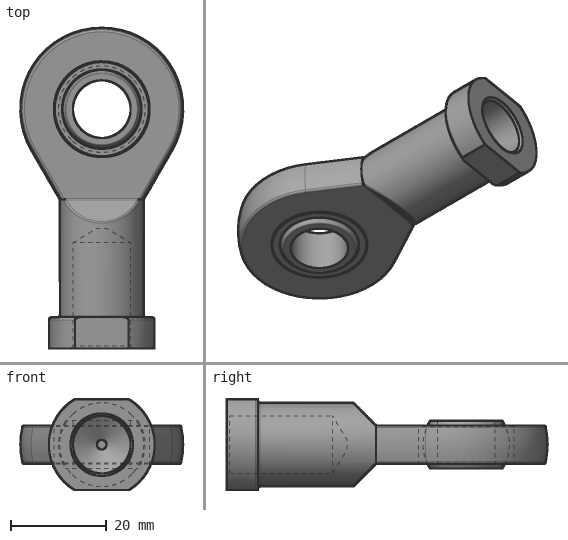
import cadquery as cq
import math

head_radius = 17.0
head_thickness = 8.0
side_bulge = 0.4
head_edge_radius = 0.5
race_seat_radius = 20.0 / 2

ball_radius = 9.0
ball_width = 9.95
ball_bore_radius = 12.0 / 2
race_edge_chamfer = 0.2
ball_edge_radius = 0.2

overall_length = 66.9
shank_radius = 17.5 / 2
neck_y = -18.8
neck_edge_radius = head_edge_radius
neck_blend_radius = head_edge_radius
collar_radius = 11.05
collar_length = 6.55
collar_edge_radius = 0.6
collar_across_flats = 19.0
shank_root_radius = 0.4

bore_radius = 12.0 / 2
bore_depth = 22.1
bore_mouth_chamfer = 0.55
drill_point_angle = 118.0
drill_flat_radius = 1.0

half_thickness = head_thickness / 2
end_y = head_radius - overall_length
collar_y = end_y + collar_length


def side_profile(inner_x):
    """Half section of the head in XZ: flat faces, rounded edges, bulged side."""
    edge_x = head_radius - side_bulge
    flat_x = edge_x - head_edge_radius
    side_z = half_thickness - head_edge_radius
    arc_offset = head_edge_radius * (1 - math.sqrt(0.5))
    return (
        cq.Workplane("XZ")
        .moveTo(inner_x, -half_thickness)
        .lineTo(flat_x, -half_thickness)
        .threePointArc((edge_x - arc_offset, arc_offset - half_thickness), (edge_x, -side_z))
        .threePointArc((head_radius, 0), (edge_x, side_z))
        .threePointArc((edge_x - arc_offset, half_thickness - arc_offset), (flat_x, half_thickness))
        .lineTo(inner_x, half_thickness)
        .close()
    )


def make_head():
    """Round eye with two straight flanks tangent to it, running in to the shank."""
    eye = side_profile(0).revolve(360, (0, 0, 0), (0, 1, 0))
    corner_distance = math.hypot(shank_radius, neck_y)
    corner_angle = math.degrees(math.atan2(-neck_y, shank_radius))
    tangent_angle = corner_angle - math.degrees(math.acos(head_radius / corner_distance))
    flank = side_profile(-2 * head_radius).extrude(2 * head_radius)
    right_flank = flank.rotate((0, 0, 0), (0, 0, 1), -tangent_angle)
    wedge = right_flank.intersect(right_flank.mirror("YZ"))
    wedge_limit = cq.Workplane("XY").box(
        4 * head_radius, -neck_y, head_thickness, centered=(True, False, True)
    ).translate((0, neck_y, 0))
    return eye.union(wedge.intersect(wedge_limit))


def make_shank():
    """Round shank, its head end sloped at 45 degrees and blended into the head faces."""
    slope_run = shank_radius - half_thickness
    half_slope = math.radians(45) / 2
    blend_reach = neck_blend_radius * math.tan(half_slope)
    slope_offset = blend_reach * math.sqrt(0.5)
    start_y = neck_y + blend_reach
    shank = cq.Workplane("XZ", origin=(0, start_y, 0)).circle(shank_radius).extrude(start_y - end_y)
    upper_half = (
        cq.Workplane("YZ")
        .moveTo(start_y, 0)
        .lineTo(start_y, half_thickness)
        .threePointArc(
            (start_y - neck_blend_radius * math.sin(half_slope),
             half_thickness + neck_blend_radius * (1 - math.cos(half_slope))),
            (neck_y - slope_offset, half_thickness + slope_offset),
        )
        .lineTo(neck_y - slope_run, shank_radius)
        .lineTo(end_y, shank_radius)
        .lineTo(end_y, 0)
        .close()
        .extrude(shank_radius, both=True)
    )
    sloped = shank.intersect(upper_half.union(upper_half.mirror("XY")))
    slope_faces = sloped.faces(cq.selectors.BoxSelector(
        (-shank_radius, neck_y - slope_run, -shank_radius),
        (shank_radius, neck_y - slope_offset, shank_radius),
    )).faces("%PLANE")
    return slope_faces.edges("%ELLIPSE").fillet(neck_edge_radius)


def make_collar():
    """End collar with a rounded shoulder and two wrench flats."""
    collar = (
        cq.Workplane("XZ", origin=(0, collar_y, 0))
        .circle(collar_radius)
        .extrude(collar_length)
        .faces(">Y").edges().fillet(collar_edge_radius)
    )
    flats = cq.Workplane("XY").box(
        2 * collar_radius, 2 * overall_length, collar_across_flats
    )
    return collar.intersect(flats)


def make_shank_root():
    """Concave fillet where the shank meets the collar shoulder."""
    r = shank_root_radius
    mid = r * (1 - math.sqrt(0.5))
    return (
        cq.Workplane("XY")
        .moveTo(0, collar_y)
        .lineTo(shank_radius + r, collar_y)
        .threePointArc((shank_radius + mid, collar_y + mid), (shank_radius, collar_y + r))
        .lineTo(0, collar_y + r)
        .close()
        .revolve(360, (0, 0, 0), (0, 1, 0))
    )


def make_shank_bore():
    """Blind bore with a chamfered mouth and a blunt drill point."""
    point_depth = (bore_radius - drill_flat_radius) / math.tan(math.radians(drill_point_angle / 2))
    bottom_y = end_y + bore_depth
    return (
        cq.Workplane("XY")
        .polyline([
            (0, end_y),
            (bore_radius + bore_mouth_chamfer, end_y),
            (bore_radius, end_y + bore_mouth_chamfer),
            (bore_radius, bottom_y),
            (drill_flat_radius, bottom_y + point_depth),
            (0, bottom_y + point_depth),
        ])
        .close()
        .revolve(360, (0, 0, 0), (0, 1, 0))
    )


def make_housing():
    race_seat = cq.Workplane("XY").circle(race_seat_radius).extrude(head_thickness, both=True)
    return (
        make_head()
        .union(make_shank())
        .union(make_collar())
        .union(make_shank_root())
        .cut(make_shank_bore())
        .cut(race_seat)
    )


def make_race():
    """Outer ring flush with the head, spherical inside, with broken edges."""
    ring = cq.Workplane("XY").circle(race_seat_radius).extrude(half_thickness, both=True)
    hollow_ring = ring.cut(cq.Workplane("XY").sphere(ball_radius))
    return hollow_ring.faces("|Z").edges().chamfer(race_edge_chamfer)


def make_ball():
    """Sphere cut flat on both sides, its outer rims rounded, and bored through."""
    width_limit = cq.Workplane("XY").circle(ball_radius).circle(ball_bore_radius).extrude(
        ball_width / 2, both=True
    )
    ball = cq.Workplane("XY").sphere(ball_radius).intersect(width_limit)
    outer_rims = ball.faces("|Z").edges(cq.selectors.RadiusNthSelector(-1))
    return outer_rims.fillet(ball_edge_radius)


housing = make_housing()
race = make_race()
ball = make_ball()

result = cq.Compound.makeCompound([housing.val(), race.val(), ball.val()])